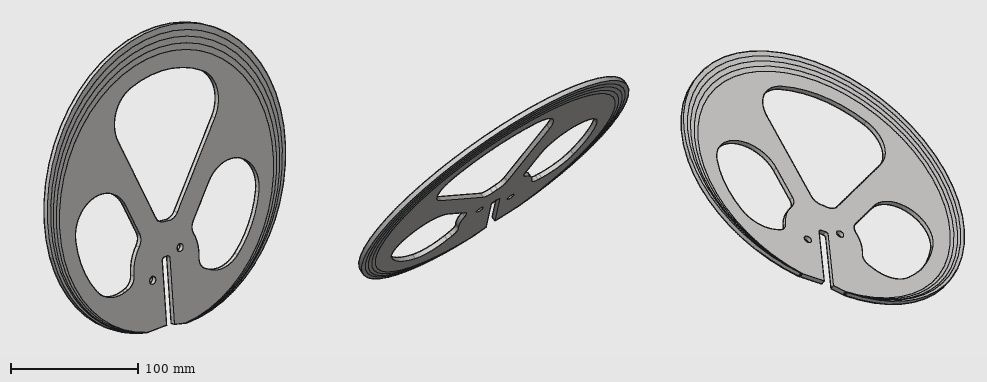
import cadquery as cq
import math


THICKNESS = 4.0

RIM_RADII = [127.5, 124.0, 121.0, 117.8, 114.5]
CREST_HEIGHT = 194.0
CREST_STEP = 5.4
SHOULDER_ANGLE = 18.0
FOOT_OFFSET = 21.5
FOOT_DEPTH = 52.3
FOOT_STEP = 0.5
NOTCH_DEPTH = 50.0

HUB_RADIUS = 35.0
SPOKE_ANGLE = 30.0
SPOKE_HALF_WIDTH = 10.0
PIVOT_HOLE_DIAMETER = 6.5
PIVOT_HOLE_RADIUS = 18.0
PIVOT_HOLE_ANGLE = 36.0

CROWN_RADIUS = 28.8
WINDOW_FILLET = 10.0
TOP_CROWN_DISTANCE = 120.5
TOP_ARC_HEIGHT = 62.5
SIDE_WINDOWS = [
    (1, 73.2, -7.4),
    (-1, 69.5, -9.0),
]
OUTER_ARC_RADIUS = 82.9
LOWER_ARC_RADIUS = 27.8
LOWER_ARC_START = -44.0
LOWER_ARC_END = -112.0

SLOT_WIDTH = 8.2
SLOT_TOP = 6.0
SLOT_CORNER_RADIUS = 2.3
SLOT_TILT = 5.0

SPOKE_TILT = math.radians(SPOKE_ANGLE)


def polar(centre, radius, degrees):
    """Point at a radius and direction from a centre."""
    angle = math.radians(degrees)
    return (centre[0] + radius * math.cos(angle), centre[1] + radius * math.sin(angle))


def spoke_point(along, across):
    """Point at a distance along the +Y spoke and across it, positive on its lower side."""
    return (
        along * math.sin(SPOKE_TILT) + across * math.cos(SPOKE_TILT),
        along * math.cos(SPOKE_TILT) - across * math.sin(SPOKE_TILT),
    )


def mirrored(point):
    return (-point[0], point[1])


def profile():
    return cq.Workplane("YZ")


def rim_disc(level):
    """Solid disc inside one rim; level 0 is the largest."""
    radius = RIM_RADII[level]
    crest = CREST_HEIGHT - level * CREST_STEP
    shoulder = polar((0, crest - radius), radius, -SHOULDER_ANGLE)
    foot_offset = FOOT_OFFSET - level * FOOT_STEP
    foot_slope = (FOOT_DEPTH - NOTCH_DEPTH) / FOOT_OFFSET
    foot = (foot_offset, -NOTCH_DEPTH - foot_slope * foot_offset)
    half = (
        profile()
        .moveTo(0, crest)
        .threePointArc(polar((0, crest - radius), radius, 45), shoulder)
        .tangentArcPoint(foot, relative=False)
        .lineTo(0, -NOTCH_DEPTH)
        .close()
        .extrude(THICKNESS)
    )
    return half.union(half.mirror("XZ")).clean()


def hub():
    return profile().circle(HUB_RADIUS).extrude(THICKNESS)


def open_window(outline):
    """Window blank that stops at the hub, with its hub corners rounded."""
    blank = outline.close().extrude(THICKNESS).cut(hub())
    near_hub = cq.selectors.BoxSelector(
        (0, -HUB_RADIUS, -HUB_RADIUS), (THICKNESS, HUB_RADIUS, HUB_RADIUS)
    )
    return blank.edges("|X").edges(near_hub).fillet(WINDOW_FILLET)


def top_window():
    crown = spoke_point(TOP_CROWN_DISTANCE, -SPOKE_HALF_WIDTH - CROWN_RADIUS)
    spoke_end = spoke_point(TOP_CROWN_DISTANCE, -SPOKE_HALF_WIDTH)
    arc_centre = (0, TOP_ARC_HEIGHT)
    arc_radius = math.dist(arc_centre, crown) + CROWN_RADIUS
    arc_direction = math.degrees(math.atan2(crown[1] - TOP_ARC_HEIGHT, crown[0]))
    arc_end = polar(arc_centre, arc_radius, arc_direction)
    apex = (0, SPOKE_HALF_WIDTH / math.sin(SPOKE_TILT))
    return open_window(
        profile()
        .moveTo(*apex)
        .lineTo(*spoke_end)
        .tangentArcPoint(arc_end, relative=False)
        .threePointArc((0, TOP_ARC_HEIGHT + arc_radius), mirrored(arc_end))
        .tangentArcPoint(mirrored(spoke_end), relative=False)
    )


def side_window(side, crown_distance, outer_direction):
    crown = spoke_point(crown_distance, SPOKE_HALF_WIDTH + CROWN_RADIUS)
    outer_centre = polar(crown, CROWN_RADIUS - OUTER_ARC_RADIUS, outer_direction)
    lower_centre = polar(outer_centre, OUTER_ARC_RADIUS - LOWER_ARC_RADIUS, LOWER_ARC_START)
    lower_end = polar(lower_centre, LOWER_ARC_RADIUS, LOWER_ARC_END)
    inside_hub = polar(lower_end, HUB_RADIUS, LOWER_ARC_END - 90)
    outline = (
        profile()
        .moveTo(*spoke_point(0, SPOKE_HALF_WIDTH))
        .lineTo(*spoke_point(crown_distance, SPOKE_HALF_WIDTH))
        .tangentArcPoint(polar(crown, CROWN_RADIUS, outer_direction), relative=False)
        .tangentArcPoint(polar(lower_centre, LOWER_ARC_RADIUS, LOWER_ARC_START), relative=False)
        .tangentArcPoint(lower_end, relative=False)
        .lineTo(*inside_hub)
    )
    window = open_window(outline)
    return window if side > 0 else window.mirror("XZ")


def pivot_holes():
    return (
        profile()
        .polarArray(PIVOT_HOLE_RADIUS, PIVOT_HOLE_ANGLE, 360, 2)
        .circle(PIVOT_HOLE_DIAMETER / 2)
        .extrude(THICKNESS)
    )


def slot():
    length = SLOT_TOP + 2 * FOOT_DEPTH
    return (
        profile()
        .center(0, SLOT_TOP - length / 2)
        .rect(SLOT_WIDTH, length)
        .extrude(THICKNESS)
        .edges("|X and >Z")
        .fillet(SLOT_CORNER_RADIUS)
        .rotate((0, 0, 0), (1, 0, 0), SLOT_TILT)
    )


def core_plate():
    plate = rim_disc(len(RIM_RADII) - 1).cut(top_window())
    for window in SIDE_WINDOWS:
        plate = plate.cut(side_window(*window))
    return plate.cut(pivot_holes()).cut(slot())


def horseshoe_band(level):
    """Band between one rim and the next smaller one."""
    return rim_disc(level).cut(rim_disc(level + 1))


core = core_plate()
bands = [horseshoe_band(level) for level in range(len(RIM_RADII) - 1)]

result = cq.Compound.makeCompound([core.val(), *[band.val() for band in bands]])